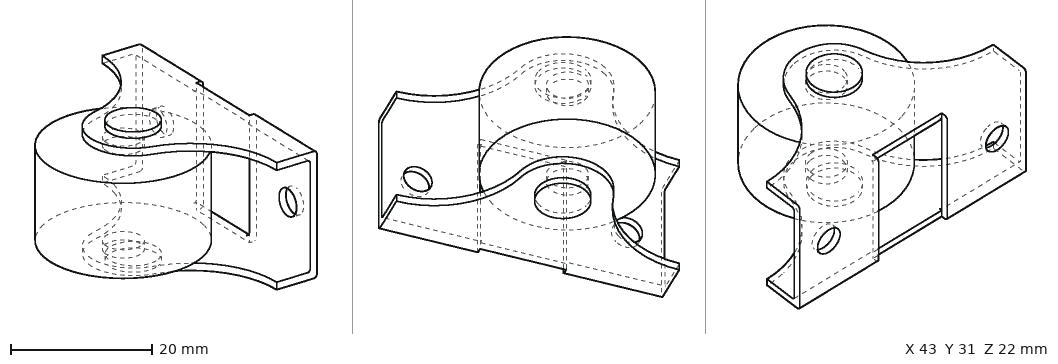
import cadquery as cq
import math

bracket_width = 43.0
bracket_height = 20.0
sheet = 1.2
bend_outer_radius = 0.6
bend_inner_radius = 0.47
cheek_side_depth = 7.0
nose_radius = 7.22
notch_width = 13.07
screw_hole_diameter = 4.3
screw_hole_spacing = 32.0

wheel_diameter = 25.03
wheel_width = 14.95
wheel_setback = 18.5
axle_diameter = 5.98
head_diameter = 8.0
head_setback = 16.75
overall_height = 22.0

half_width = bracket_width / 2
inner_height = bracket_height - 2 * sheet
nose_y = -head_setback
side_y = -cheek_side_depth

nose_drop = side_y - nose_y
flank_radius = (half_width**2 + nose_drop**2 - nose_radius**2) / (2 * (nose_radius + nose_drop))
flank_y = side_y - flank_radius
flank_angle = math.atan2(nose_y - flank_y, half_width)
flank_mid_angle = (math.pi / 2 + flank_angle) / 2
join_x = half_width - flank_radius * math.cos(flank_angle)
join_y = flank_y + flank_radius * math.sin(flank_angle)
mid_x = half_width - flank_radius * math.cos(flank_mid_angle)
mid_y = flank_y + flank_radius * math.sin(flank_mid_angle)


def centered_cylinder(diameter, height, y):
    """Cylinder along Z, centered on Z = 0."""
    return cq.Workplane("XY").center(0, y).circle(diameter / 2).extrude(height / 2, both=True)


def make_channel():
    """Folded sheet channel, open toward -Y."""
    depth = head_setback + nose_radius
    outer = (
        cq.Workplane("XY")
        .box(bracket_width, depth, bracket_height)
        .translate((0, -depth / 2, 0))
        .edges("|X and >Y")
        .fillet(bend_outer_radius)
    )
    inner = (
        cq.Workplane("XY")
        .box(bracket_width, depth, inner_height)
        .translate((0, -depth / 2 - sheet, 0))
        .edges("|X and >Y")
        .fillet(bend_inner_radius)
    )
    return outer.cut(inner)


def make_cheek_outline():
    """Cheek profile extruded through the full bracket height."""
    return (
        cq.Workplane("XY")
        .moveTo(-half_width, 0)
        .lineTo(half_width, 0)
        .lineTo(half_width, side_y)
        .threePointArc((mid_x, mid_y), (join_x, join_y))
        .threePointArc((0, nose_y - nose_radius), (-join_x, join_y))
        .threePointArc((-mid_x, mid_y), (-half_width, side_y))
        .close()
        .extrude(bracket_height / 2, both=True)
    )


def make_bracket():
    """Shaped channel with the back and its inner bends split into two drilled tabs."""
    notch = cq.Workplane("XY").box(notch_width, 2 * sheet, bracket_height)
    bend_relief = cq.Workplane("XY").box(notch_width, 2 * (sheet + bend_inner_radius), inner_height)
    screw_holes = (
        cq.Workplane("XZ")
        .pushPoints([(-screw_hole_spacing / 2, 0), (screw_hole_spacing / 2, 0)])
        .circle(screw_hole_diameter / 2)
        .extrude(sheet)
    )
    return make_channel().intersect(make_cheek_outline()).cut(notch).cut(bend_relief).cut(screw_holes)


def make_rivet_heads():
    """One head on the outer face of each cheek."""
    heads = centered_cylinder(head_diameter, overall_height, nose_y)
    gap = centered_cylinder(head_diameter, bracket_height, nose_y)
    return heads.cut(gap)


wheel = centered_cylinder(wheel_diameter, wheel_width, -wheel_setback)
axle = centered_cylinder(axle_diameter, bracket_height, -wheel_setback)

result = make_bracket().union(axle).union(wheel).union(make_rivet_heads())